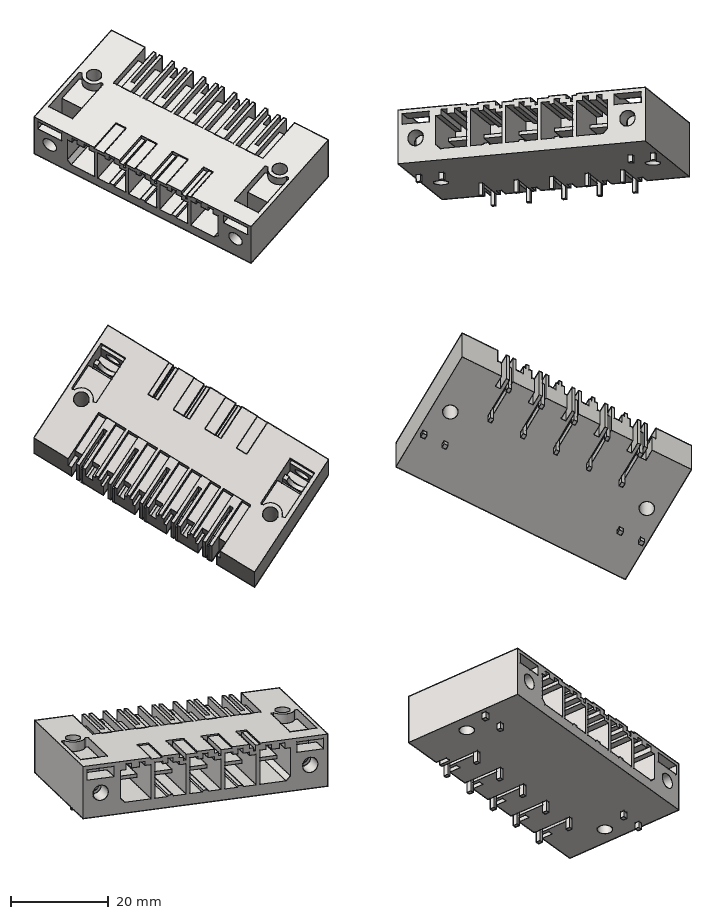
import cadquery as cq
import math


LENGTH = 53.35
DEPTH = 28.3
HEIGHT = 11.4

POLES = 5
PITCH = 7.65
POLE_XS = [(i - (POLES - 1) / 2) * PITCH for i in range(POLES)]

CAVITY_DEPTH = 12.8
CAVITY_FLOOR = 2.4
CAVITY_HALF = 3.4
CAVITY_OUTER = 3.25
CAVITY_CHAMFER = 0.95
KEYWAY_TOP = 10.7
KEYWAY_ROOT = 9.7
END_KEYWAY = (0.85, 2.1)
END_INNER_TOP = 9.85
END_OUTER_TOP = 9.5
MID_KEYWAY_HALF = 0.6
MID_LEFT_STEP = (-1.65, 10.25)
MID_RIGHT_STEP = (2.0, 9.0)
RIB_BASE_HALF = 0.7
RIB_TOP_HALF = 0.5
RIB_HEIGHT = 0.3

GROOVE_LENGTH = 8.0
GROOVE_SHALLOW = 0.3
GROOVE_MEDIUM = 0.85
GROOVE_DEEP = 1.55
SHALLOW_SPAN = (-4.25, -1.8)
MEDIUM_SPAN = (2.0, 2.9)
DEEP_SPAN = (2.9, 3.4)
LAST_DEEP_END = 3.25
LAST_SHALLOW_END = 4.25

COMB_FRONT = 16.7
COMB_HALF = 18.35
COMB_FLOOR = 9.7
FIN_HALF = 1.1
FIN_DROP = 0.1
DIVIDER_WIDTH = 0.7
NOTCH_FRONT = 25.7
NOTCH_HALF = 2.85
NOTCH_LEDGE = 6.4
SHAFT_EDGE = 2.25
SADDLE_START = 2.35
SADDLE_END = 1.65
SADDLE_RADIUS = 1.6

FLANGE_X = 22.85
POCKET_HALF = 2.95
POCKET_FRONT = 4.0
POCKET_STEP = 8.85
POCKET_REAR = 15.3
SILL_TOP = 8.3
WELL_FLOOR = 2.65
POCKET_STEP_TOP = 9.35
POCKET_CORNER_RADIUS = 0.25
WINDOW_TOP = 10.55
SILL_WIDTH = 0.15
BOSS_Y = 16.2
BOSS_RADIUS = 2.45
MOUNT_HOLE_DIAMETER = 3.15
SCREW_Z = 5.2
SCREW_RADIUS = 1.65
FORK_FRONT = 5.9
FORK_REAR = 6.95
FORK_NOTCH_RADIUS = 2.0

CONTACT_THICKNESS = 0.8
CONTACT_FRONT = 19.1
CONTACT_REAR = 27.8
CONTACT_LEG = 1.0
CONTACT_LEG_END = -2.55
CONTACT_WEB_BOTTOM = 2.65
CONTACT_TOP = 8.55
CONTACT_FRONT_TOP = 7.75
CONTACT_TOP_STEP = 21.55
CONTACT_SLOPE_START = 25.55
CONTACT_SLOPE_DROP = 1.05
BLADE_WIDTH = 4.6
BLADE_BOTTOM = 5.35
BLADE_THICKNESS = 0.75
BLADE_TIP = 5.35

PEG_SIZE = 0.95
PEG_FRONT = 8.95
PEG_END = -1.45
PEG_EMBED = 2.15


def block(x, y, z):
    """Box between the (low, high) limits on each axis."""
    size = (x[1] - x[0], y[1] - y[0], z[1] - z[0])
    return cq.Workplane("XY").box(*size, centered=False).translate((x[0], y[0], z[0]))


def along_y(outline, y_start, y_end):
    """Extrude a function-drawn XZ outline from y_start to y_end."""
    plane = cq.Workplane("XZ", origin=(0, y_start, 0))
    return outline(plane).extrude(y_start - y_end)


def end_cavity():
    """Cavity of the left end pole, centred on its own axis."""
    near, far = END_KEYWAY
    points = [
        (-CAVITY_OUTER, CAVITY_FLOOR + CAVITY_CHAMFER),
        (-CAVITY_OUTER, END_OUTER_TOP),
        (-far, END_OUTER_TOP),
        (-far, KEYWAY_TOP),
        (-near, KEYWAY_TOP),
        (-near, KEYWAY_ROOT),
        (near, KEYWAY_ROOT),
        (near, KEYWAY_TOP),
        (far, KEYWAY_TOP),
        (far, END_INNER_TOP),
        (CAVITY_HALF, END_INNER_TOP),
        (CAVITY_HALF, CAVITY_FLOOR),
        (-CAVITY_OUTER + CAVITY_CHAMFER, CAVITY_FLOOR),
    ]
    return along_y(lambda plane: plane.polyline(points).close(), 0, CAVITY_DEPTH)


def middle_cavity():
    """Cavity of a middle pole, with a low rib along its floor."""
    left_x, left_top = MID_LEFT_STEP
    right_x, right_top = MID_RIGHT_STEP
    points = [
        (-CAVITY_HALF, CAVITY_FLOOR),
        (-CAVITY_HALF, left_top),
        (left_x, left_top),
        (left_x, KEYWAY_ROOT),
        (-MID_KEYWAY_HALF, KEYWAY_ROOT),
        (-MID_KEYWAY_HALF, KEYWAY_TOP),
        (MID_KEYWAY_HALF, KEYWAY_TOP),
        (MID_KEYWAY_HALF, KEYWAY_ROOT),
        (right_x, KEYWAY_ROOT),
        (right_x, right_top),
        (CAVITY_HALF, right_top),
        (CAVITY_HALF, CAVITY_FLOOR),
        (RIB_BASE_HALF, CAVITY_FLOOR),
        (RIB_TOP_HALF, CAVITY_FLOOR + RIB_HEIGHT),
        (-RIB_TOP_HALF, CAVITY_FLOOR + RIB_HEIGHT),
        (-RIB_BASE_HALF, CAVITY_FLOOR),
    ]
    return along_y(lambda plane: plane.polyline(points).close(), 0, CAVITY_DEPTH)


def cut_cavities(housing):
    left_end = end_cavity()
    housing = housing.cut(left_end.translate((POLE_XS[0], 0, 0)))
    housing = housing.cut(left_end.mirror("YZ").translate((POLE_XS[-1], 0, 0)))
    for x in POLE_XS[1:-1]:
        housing = housing.cut(middle_cavity().translate((x, 0, 0)))
    return housing


def groove(pole_x, span, depth):
    limits = (pole_x + span[0], pole_x + span[1])
    return block(limits, (0, GROOVE_LENGTH), (HEIGHT - depth, HEIGHT))


def cut_grooves(housing):
    last_x = POLE_XS[-2]
    for x in POLE_XS[1:-1]:
        deep_end = LAST_DEEP_END if x == last_x else DEEP_SPAN[1]
        housing = housing.cut(groove(x, SHALLOW_SPAN, GROOVE_SHALLOW))
        housing = housing.cut(groove(x, MEDIUM_SPAN, GROOVE_MEDIUM))
        housing = housing.cut(groove(x, (DEEP_SPAN[0], deep_end), GROOVE_DEEP))
    return housing.cut(groove(last_x, (LAST_DEEP_END, LAST_SHALLOW_END), GROOVE_SHALLOW))


def cut_comb(housing):
    """Lower the rear deck, leaving a fin on each pole and a divider between poles."""
    rear = (COMB_FRONT, DEPTH)
    recess = block((-COMB_HALF, COMB_HALF), rear, (COMB_FLOOR, HEIGHT))
    for x in POLE_XS:
        fin_span = (x - FIN_HALF, x + FIN_HALF)
        recess = recess.cut(block(fin_span, rear, (COMB_FLOOR, HEIGHT - FIN_DROP)))
    for x in POLE_XS[:-1]:
        middle = x + PITCH / 2
        divider_span = (middle - DIVIDER_WIDTH / 2, middle + DIVIDER_WIDTH / 2)
        recess = recess.cut(block(divider_span, rear, (COMB_FLOOR, HEIGHT)))
    return housing.cut(recess)


def open_notch(edge):
    """Rear notch on the right of a pole: a full-height shaft, then a ledge out to edge."""
    rear = (NOTCH_FRONT, DEPTH)
    shaft = block((FIN_HALF, SHAFT_EDGE), rear, (0, COMB_FLOOR))
    return shaft.union(block((SHAFT_EDGE, edge), rear, (NOTCH_LEDGE, COMB_FLOOR)))


def saddle_notch():
    """Rear notch on the left of a pole, with a concave saddle rising towards the fin."""
    run = SADDLE_START - SADDLE_END
    saddle_top = NOTCH_LEDGE + SADDLE_RADIUS - math.sqrt(SADDLE_RADIUS**2 - run**2)
    half_run = run / 2
    middle_rise = SADDLE_RADIUS - math.sqrt(SADDLE_RADIUS**2 - half_run**2)

    def outline(plane):
        return (
            plane.moveTo(-NOTCH_HALF, COMB_FLOOR)
            .lineTo(-NOTCH_HALF, NOTCH_LEDGE)
            .lineTo(-SADDLE_START, NOTCH_LEDGE)
            .threePointArc(
                (-SADDLE_START + half_run, NOTCH_LEDGE + middle_rise),
                (-SADDLE_END, saddle_top),
            )
            .lineTo(-FIN_HALF, saddle_top)
            .lineTo(-FIN_HALF, COMB_FLOOR)
            .close()
        )

    return along_y(outline, NOTCH_FRONT, DEPTH)


def cut_notches(housing):
    end_edge = COMB_HALF - POLE_XS[-1]
    first_left = open_notch(end_edge).mirror("YZ")
    housing = housing.cut(first_left.translate((POLE_XS[0], 0, 0)))
    for x in POLE_XS[1:]:
        housing = housing.cut(saddle_notch().translate((x, 0, 0)))
    for x in POLE_XS:
        edge = end_edge if x == POLE_XS[-1] else NOTCH_HALF
        housing = housing.cut(open_notch(edge).translate((x, 0, 0)))
    return housing


def pocket():
    """Deck pocket with a front window and a raised step, wrapped around the screw boss."""
    width = (-POCKET_HALF, POCKET_HALF)
    sill_rear = POCKET_FRONT + SILL_WIDTH
    window = block(width, (0, sill_rear), (SILL_TOP, WINDOW_TOP))
    mouth = block(width, (POCKET_FRONT, sill_rear), (SILL_TOP, HEIGHT))
    well = block(width, (sill_rear, POCKET_STEP), (WELL_FLOOR, HEIGHT))
    rear = block(width, (POCKET_STEP, POCKET_REAR), (POCKET_STEP_TOP, HEIGHT))
    rear = rear.edges("|Z and >Y").fillet(POCKET_CORNER_RADIUS)
    boss = cq.Workplane("XY").center(0, BOSS_Y).circle(BOSS_RADIUS).extrude(HEIGHT)
    return window.union(mouth).union(well).union(rear).cut(boss)


def fork():
    """Low wall across the well, with a half-round notch around the screw axis."""
    fork_y = (FORK_FRONT, FORK_REAR)
    wall = block((-POCKET_HALF, POCKET_HALF), fork_y, (WELL_FLOOR, SCREW_Z))
    return wall.cut(screw_cylinder(FORK_NOTCH_RADIUS, *fork_y))


def screw_cylinder(radius, y_start, y_end):
    return along_y(lambda plane: plane.center(0, SCREW_Z).circle(radius), y_start, y_end)


def mount_hole():
    return cq.Workplane("XY").center(0, BOSS_Y).circle(MOUNT_HOLE_DIAMETER / 2).extrude(HEIGHT)


def cut_flanges(housing):
    for x in (-FLANGE_X, FLANGE_X):
        screw_hole = screw_cylinder(SCREW_RADIUS, 0, POCKET_FRONT + SILL_WIDTH)
        for opening in (pocket().cut(fork()), screw_hole, mount_hole()):
            housing = housing.cut(opening.translate((x, 0, 0)))
    return housing


def make_blade():
    """Flat blade reaching forward through the cavity wall."""
    return block(
        (-BLADE_WIDTH / 2, BLADE_WIDTH / 2),
        (BLADE_TIP, CONTACT_FRONT),
        (BLADE_BOTTOM, BLADE_BOTTOM + BLADE_THICKNESS),
    )


def make_contact():
    """Upright sheet with two solder legs, carrying a flat blade."""
    front_leg_rear = CONTACT_FRONT + CONTACT_LEG
    rear_leg_front = CONTACT_REAR - CONTACT_LEG
    points = [
        (CONTACT_FRONT, CONTACT_LEG_END),
        (front_leg_rear, CONTACT_LEG_END),
        (front_leg_rear, CONTACT_WEB_BOTTOM),
        (rear_leg_front, CONTACT_WEB_BOTTOM),
        (rear_leg_front, CONTACT_LEG_END),
        (CONTACT_REAR, CONTACT_LEG_END),
        (CONTACT_REAR, CONTACT_TOP - CONTACT_SLOPE_DROP),
        (CONTACT_SLOPE_START, CONTACT_TOP),
        (CONTACT_TOP_STEP, CONTACT_TOP),
        (CONTACT_TOP_STEP, CONTACT_FRONT_TOP),
        (CONTACT_FRONT, CONTACT_FRONT_TOP),
    ]
    sheet = cq.Workplane("YZ").polyline(points).close().extrude(CONTACT_THICKNESS / 2, both=True)
    return sheet.union(make_blade())


def cut_contact_seats(housing):
    """Full-height slot for each sheet and a slit for each blade."""
    half = CONTACT_THICKNESS / 2
    for x in POLE_XS:
        slot = block((x - half, x + half), (CONTACT_FRONT, DEPTH), (0, HEIGHT))
        housing = housing.cut(slot).cut(make_blade().translate((x, 0, 0)))
    return housing


def make_peg(x):
    """Square peg under a flange, set into the underside of the housing."""
    half = PEG_SIZE / 2
    return block((x - half, x + half), (PEG_FRONT, PEG_FRONT + PEG_SIZE), (PEG_END, PEG_EMBED))


def make_housing(pegs):
    housing = block((-LENGTH / 2, LENGTH / 2), (0, DEPTH), (0, HEIGHT))
    housing = cut_cavities(housing)
    housing = cut_grooves(housing)
    housing = cut_comb(housing)
    housing = cut_notches(housing)
    housing = cut_flanges(housing)
    housing = cut_contact_seats(housing)
    for peg in pegs:
        housing = housing.cut(peg)
    return housing


PEG_OFFSET = POCKET_HALF - PEG_SIZE / 2

solder_pegs = [
    make_peg(flange_x + offset)
    for flange_x in (-FLANGE_X, FLANGE_X)
    for offset in (-PEG_OFFSET, PEG_OFFSET)
]
contacts = [make_contact().translate((x, 0, 0)) for x in POLE_XS]
housing = make_housing(solder_pegs)

bodies = [housing, *contacts, *solder_pegs]
result = cq.Compound.makeCompound([body.val() for body in bodies])